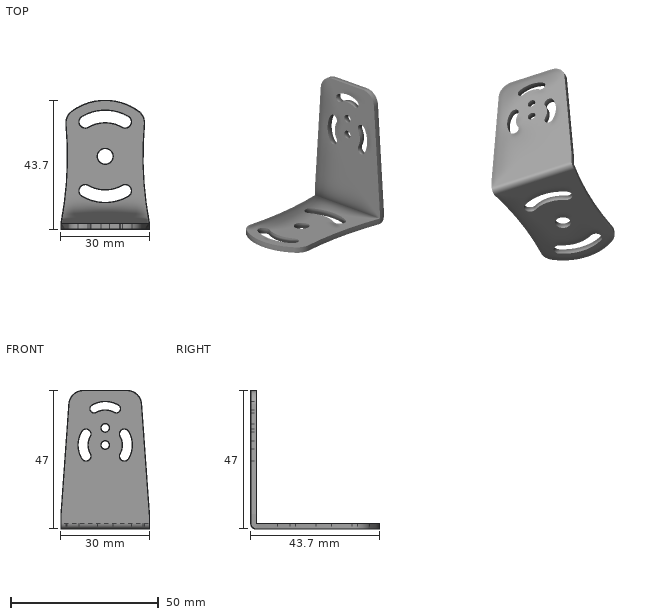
import cadquery as cq
import math

width = 30.0
depth = 43.7
height = 47.0
thickness = 2.0
half_width = width / 2
bend_radius = thickness

straight_height = 5.0
top_half_width = 12.0
top_corner_radius = 5.0
lower_hole_z = 28.5
hole_spacing = 5.8
upper_hole_z = lower_hole_z + hole_spacing
small_hole_diameter = 2.8
upright_slot_radius = 7.5
side_slot_width = 3.3
top_slot_width = 2.8

end_radius = 19.0
pivot_y = depth - end_radius
pivot_diameter = 5.3
waist_radius = 120.0
end_corner_radius = 5.0
base_slot_radius = 13.5
base_slot_width = 4.2

slot_half_angle = 30.0


def polar(center, radius, angle):
    """Point at a distance and an angle in degrees from a centre."""
    a = math.radians(angle)
    return (center[0] + radius * math.cos(a), center[1] + radius * math.sin(a))


def through_hole(plane, center, diameter):
    """Round cutter, one sheet thickness long, standing on a plane."""
    return cq.Workplane(plane).center(*center).circle(diameter / 2).extrude(thickness)


def arc_slot(plane, center, radius, slot_width, middle_angle):
    """Round-ended arc cutter, one sheet thickness long, standing on a plane."""
    start = middle_angle - slot_half_angle
    end = middle_angle + slot_half_angle
    cap_radius = slot_width / 2
    inner = radius - cap_radius
    outer = radius + cap_radius
    start_cap = polar(polar(center, radius, start), cap_radius, start - 90)
    end_cap = polar(polar(center, radius, end), cap_radius, end + 90)
    return (
        cq.Workplane(plane)
        .moveTo(*polar(center, outer, start))
        .threePointArc(polar(center, outer, middle_angle), polar(center, outer, end))
        .threePointArc(end_cap, polar(center, inner, end))
        .threePointArc(polar(center, inner, middle_angle), polar(center, inner, start))
        .threePointArc(start_cap, polar(center, outer, start))
        .close()
        .extrude(thickness)
    )


def make_upright():
    """Tapered upright plate with two small holes and three arc slots."""
    plane = cq.Plane.XZ((0, thickness, 0))
    plate = (
        cq.Workplane(plane)
        .moveTo(-half_width, 0)
        .lineTo(half_width, 0)
        .lineTo(half_width, straight_height)
        .lineTo(top_half_width, height)
        .lineTo(-top_half_width, height)
        .lineTo(-half_width, straight_height)
        .close()
        .extrude(thickness)
        .edges("|Y and >Z")
        .fillet(top_corner_radius)
    )
    lower_center = (0, lower_hole_z)
    upper_center = (0, upper_hole_z)
    for center in (lower_center, upper_center):
        plate = plate.cut(through_hole(plane, center, small_hole_diameter))
    for side_angle in (0, 180):
        slot = arc_slot(plane, lower_center, upright_slot_radius, side_slot_width, side_angle)
        plate = plate.cut(slot)
    return plate.cut(arc_slot(plane, upper_center, upright_slot_radius, top_slot_width, 90))


def make_base():
    """Waisted base plate with a rounded end, a pivot hole and two arc slots."""
    plane = cq.Plane.XY()
    flare_length = pivot_y - thickness
    flare_depth = waist_radius - math.sqrt(waist_radius**2 - flare_length**2)
    waist_half_width = half_width - flare_depth
    side_center_x = waist_half_width + waist_radius
    corner_x = (side_center_x**2 + end_radius**2 - waist_radius**2) / (2 * side_center_x)
    corner_y = pivot_y + math.sqrt(end_radius**2 - corner_x**2)
    plate = (
        cq.Workplane(plane)
        .moveTo(-half_width, 0)
        .lineTo(half_width, 0)
        .lineTo(half_width, thickness)
        .threePointArc((waist_half_width, pivot_y), (corner_x, corner_y))
        .threePointArc((0, depth), (-corner_x, corner_y))
        .threePointArc((-waist_half_width, pivot_y), (-half_width, thickness))
        .close()
        .extrude(thickness)
        .edges("|Z")
        .edges(">Y")
        .fillet(end_corner_radius)
    )
    pivot = (0, pivot_y)
    plate = plate.cut(through_hole(plane, pivot, pivot_diameter))
    for slot_angle in (90, -90):
        plate = plate.cut(arc_slot(plane, pivot, base_slot_radius, base_slot_width, slot_angle))
    return plate


def round_bend(bracket):
    """Round the outer edge of the bend."""
    return bracket.edges("|X and <Y and <Z").fillet(bend_radius)


result = round_bend(make_upright().union(make_base()))